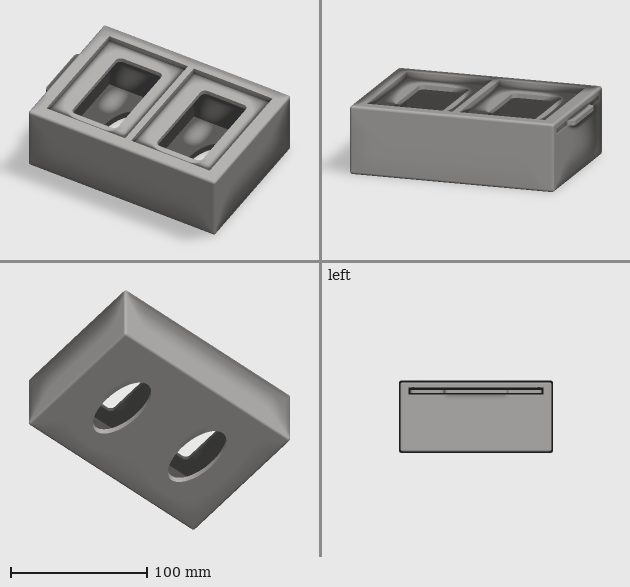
import cadquery as cq

tab_reach = 5.0
length = 163 - tab_reach
width = 112.0
height = 52.0
edge_radius = 2.0

border = 10.0
divider = 5.0
floor_thickness = 5.0
compartment_length = (length - 2 * border - divider) / 2
compartment_width = width - 2 * border
compartment_pitch = compartment_length + divider
compartment_centres = [(side * compartment_pitch / 2, 0) for side in (-1, 1)]

ellipse_length_x = 28.0
ellipse_length_y = 58.0

roof_thickness = 5.0
slot_height = 4.0
slot_width = 98.0
slot_side_wall = (width - slot_width) / 2
slot_length = length - slot_side_wall
slot_bottom = height - roof_thickness - slot_height

lid_thickness = 3.5
lid_side_gap = 0.5
lid_corner_radius = 3.6
lid_width = slot_width - 2 * lid_side_gap
lid_back = length / 2 - slot_side_wall - lid_side_gap

window_length = 38.3
window_width = 70.3
window_radius = 4.0

tab_width = 46.5
tab_radius = 3.0
tab_tip = -length / 2 - tab_reach
lid_front = tab_tip + 2 * tab_radius


def make_housing():
    housing = cq.Workplane("XY").box(length, width, height, centered=(True, True, False))
    housing = housing.edges().fillet(edge_radius)

    compartments = (
        cq.Workplane("XY", origin=(0, 0, floor_thickness))
        .pushPoints(compartment_centres)
        .rect(compartment_length, compartment_width)
        .extrude(height)
    )
    floor_openings = (
        cq.Workplane("XY")
        .pushPoints(compartment_centres)
        .ellipse(ellipse_length_x / 2, ellipse_length_y / 2)
        .extrude(height)
    )
    lid_slot = cq.Workplane("XY", origin=(-length / 2, 0, slot_bottom)).box(
        slot_length, slot_width, slot_height, centered=(False, True, False)
    )
    return housing.cut(compartments).cut(floor_openings).cut(lid_slot).solids()


def make_tab():
    half_width = tab_width / 2
    root_half_width = half_width + tab_radius
    return (
        cq.Workplane("XY", origin=(0, 0, slot_bottom))
        .moveTo(lid_front, -root_half_width)
        .radiusArc((lid_front - tab_radius, -half_width), -tab_radius)
        .radiusArc((tab_tip, -half_width + tab_radius), tab_radius)
        .lineTo(tab_tip, half_width - tab_radius)
        .radiusArc((tab_tip + tab_radius, half_width), tab_radius)
        .radiusArc((lid_front, root_half_width), -tab_radius)
        .close()
        .extrude(lid_thickness)
    )


def make_lid():
    plate = (
        cq.Workplane("XY", origin=(lid_front, 0, slot_bottom))
        .box(lid_back - lid_front, lid_width, lid_thickness, centered=(False, True, False))
        .edges("|Z")
        .fillet(lid_corner_radius)
    )
    windows = (
        cq.Workplane("XY", origin=(0, 0, slot_bottom))
        .pushPoints(compartment_centres)
        .rect(window_length, window_width)
        .extrude(lid_thickness)
        .edges("|Z")
        .fillet(window_radius)
    )
    return plate.union(make_tab()).cut(windows).solids()


housing = make_housing()
lid = make_lid()
result = cq.Compound.makeCompound([housing.val(), lid.val()])